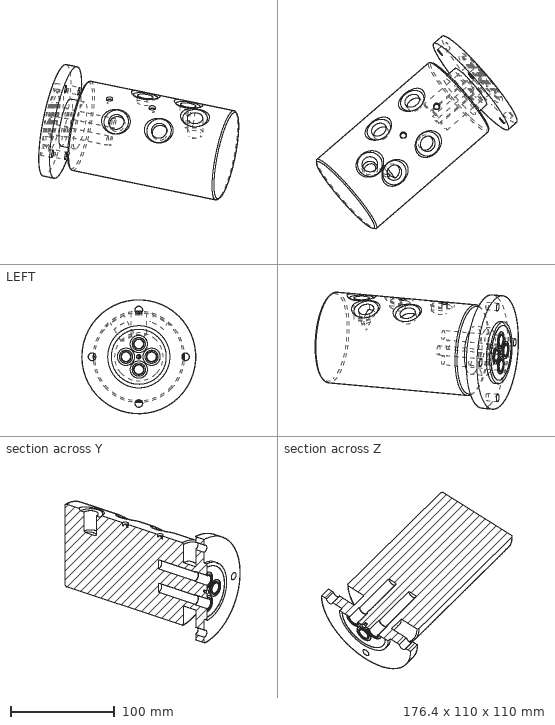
import cadquery as cq
import math

seal_protrusion = 0.35
face_x = seal_protrusion
pilot_x = face_x + 0.25
flange_x = face_x + 3.5
flange_thickness = 11.0
housing_x = face_x + 29.0
housing_length = 147.0
housing_chamfer = 1.5

face_diameter = 53.0
pilot_diameter = 60.0
flange_diameter = 110.0
neck_diameter = 46.5
housing_diameter = 88.0
housing_radius = housing_diameter / 2

bolt_hole_diameter = 7.2
bolt_circle_diameter = 90.0
bolt_hole_count = 4

passage_diameter = 9.0
passage_mouth_diameter = 10.0
passage_mouth_depth = 15.0
passage_depth = 60.0
passage_circle_diameter = 24.7
passage_count = 4
seal_outer_diameter = 16.65
seal_section = 2.0
seal_center_radius = (seal_outer_diameter - seal_section) / 2

center_mouth_diameter = 4.25
center_pilot_diameter = 2.0
center_pilot_depth = 4.0
center_cone_angle = 60.0

port_diameter = 14.95
drill_point_angle = 118.0
port_drill_depth = 22.5
spotface_diameter = 23.8
spotface_depth = 2.2
spotface_flare = 45.0
spotface_clearance = 2.0
port_pitch = 43.0
ball_x = housing_x + 29.5
lower_port_offset = 13.0
upper_port_offset = 30.0
port_tilt = 30.0
stage_count = 2
drain_x = ball_x + stage_count * port_pitch

core_diameter = 71.0
core_end_x = 133.6
core_tail_diameter = 41.2

ball_diameter = 5.0
ball_hole_diameter = 6.0
ball_recess = 1.0


def disc(x_start, x_end, diameter):
    """Cylinder along X between two stations."""
    return cq.Workplane("YZ", origin=(x_start, 0, 0)).circle(diameter / 2).extrude(x_end - x_start)


def make_housing():
    housing = disc(housing_x, housing_x + housing_length, housing_diameter)
    return housing.faces("<X or >X").chamfer(housing_chamfer)


def make_port_cutter(x, tilt):
    """Flared spotface and drilled hole, pointing inward and tilted about X."""
    floor_z = housing_radius - spotface_depth
    top_z = housing_radius + spotface_clearance
    flare = (top_z - floor_z) * math.tan(math.radians(spotface_flare))
    floor_radius = spotface_diameter / 2
    hole_radius = port_diameter / 2
    shoulder_z = housing_radius - port_drill_depth
    tip_z = shoulder_z - hole_radius / math.tan(math.radians(drill_point_angle / 2))
    profile = (
        cq.Workplane("XZ")
        .moveTo(0, top_z)
        .lineTo(floor_radius + flare, top_z)
        .lineTo(floor_radius, floor_z)
        .lineTo(hole_radius, floor_z)
        .lineTo(hole_radius, shoulder_z)
        .lineTo(0, tip_z)
        .close()
    )
    cutter = profile.revolve(360, (0, 0, 0), (0, 1, 0))
    return cutter.rotate((0, 0, 0), (1, 0, 0), tilt).translate((x, 0, 0))


def cut_ports(housing):
    for stage in range(stage_count):
        stage_x = ball_x + stage * port_pitch
        housing = housing.cut(make_port_cutter(stage_x + lower_port_offset, port_tilt))
        housing = housing.cut(make_port_cutter(stage_x + upper_port_offset, -port_tilt))
    return housing.cut(make_port_cutter(drain_x, 0))


def add_ball_plugs(housing):
    """Sunk holes on the +Z line, each with the upper half of a ball showing."""
    equator_z = housing_radius - ball_recess - ball_diameter / 2
    for stage in range(stage_count):
        center = (ball_x + stage * port_pitch, 0, equator_z)
        hole = cq.Workplane("XY", origin=center).circle(ball_hole_diameter / 2).extrude(ball_diameter)
        ball = cq.Workplane("XY", origin=center).sphere(ball_diameter / 2)
        housing = housing.cut(hole).union(ball)
    return housing


def make_rotor():
    flange_back = flange_x + flange_thickness
    rotor = disc(face_x, flange_x, face_diameter)
    rotor = rotor.union(disc(pilot_x, flange_x, pilot_diameter))
    rotor = rotor.union(disc(flange_x, flange_back, flange_diameter))
    rotor = rotor.union(disc(flange_back, housing_x, neck_diameter))
    bolt_holes = (
        cq.Workplane("YZ", origin=(flange_x, 0, 0))
        .polarArray(bolt_circle_diameter / 2, 0, 360, bolt_hole_count)
        .circle(bolt_hole_diameter / 2)
        .extrude(flange_thickness)
    )
    return rotor.cut(bolt_holes)


def make_core():
    """Stepped rotor body inside the housing bore."""
    core_start_x = housing_x + housing_chamfer
    tail_end_x = drain_x + port_diameter
    core = disc(core_start_x, core_end_x, core_diameter)
    return core.union(disc(core_end_x, tail_end_x, core_tail_diameter))


def cut_face_passages(body):
    """Passages in the end face, each ringed by the exposed half of an O-ring."""
    seal_center_depth = seal_section / 2 - seal_protrusion
    seal_inner_radius = seal_center_radius - seal_section / 2
    center_x = face_x + seal_center_depth
    for index in range(passage_count):
        angle = math.radians(index * 360 / passage_count)
        y = passage_circle_diameter / 2 * math.cos(angle)
        z = passage_circle_diameter / 2 * math.sin(angle)
        land = disc(face_x, center_x, 2 * seal_inner_radius)
        groove = disc(face_x, center_x, seal_outer_diameter).cut(land)
        body = body.cut(groove.translate((0, y, z)))
        half_ring = (
            cq.Workplane("XY", origin=(center_x, 0, 0))
            .moveTo(0, seal_inner_radius)
            .threePointArc((-seal_section / 2, seal_center_radius), (0, seal_outer_diameter / 2))
            .close()
            .revolve(360, (0, 0, 0), (1, 0, 0))
        )
        body = body.union(half_ring.translate((0, y, z)))
        passage = disc(face_x, face_x + passage_depth, passage_diameter)
        mouth = disc(face_x, face_x + passage_mouth_depth, passage_mouth_diameter)
        body = body.cut(passage.union(mouth).translate((0, y, z)))
    return body


def cut_center_drilling(body):
    mouth_radius = center_mouth_diameter / 2
    pilot_radius = center_pilot_diameter / 2
    cone_depth = (mouth_radius - pilot_radius) / math.tan(math.radians(center_cone_angle / 2))
    tip_depth = pilot_radius / math.tan(math.radians(drill_point_angle / 2))
    drilling = (
        cq.Workplane("XY", origin=(face_x, 0, 0))
        .lineTo(0, mouth_radius)
        .lineTo(cone_depth, pilot_radius)
        .lineTo(center_pilot_depth, pilot_radius)
        .lineTo(center_pilot_depth + tip_depth, 0)
        .close()
        .revolve(360, (0, 0, 0), (1, 0, 0))
    )
    return body.cut(drilling)


housing = add_ball_plugs(cut_ports(make_housing()))
body = housing.union(make_core()).union(make_rotor())
body = cut_face_passages(body)
result = cut_center_drilling(body)